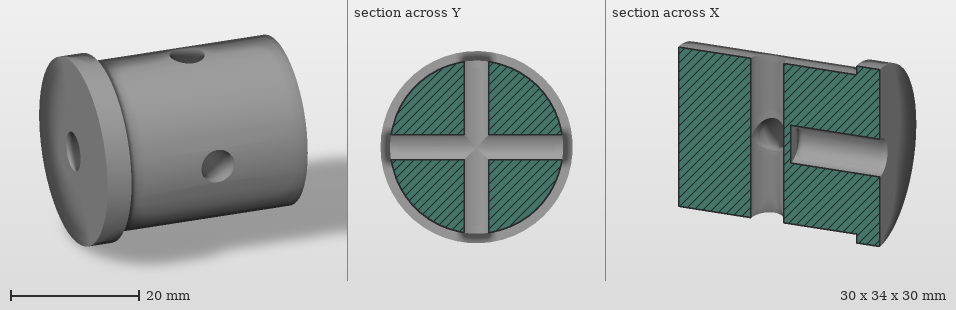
import cadquery as cq

flange_diameter = 30.0
flange_thickness = 4.0
body_diameter = 27.0
body_length = 30.0
cross_hole_diameter = 5.5
axial_hole_diameter = 6.3
axial_hole_depth = 15.0

cross_hole_y = flange_thickness + body_length / 2


def cylinder_along_y(diameter, start_y, length):
    """Solid cylinder on the part axis, from start_y toward +Y."""
    plane = cq.Workplane("XZ", origin=(0, start_y, 0))
    return plane.circle(diameter / 2).extrude(-length)


def cross_hole(plane_name):
    """Cutter through the whole body, normal to the named plane, at mid body."""
    plane = cq.Workplane(plane_name, origin=(0, cross_hole_y, 0))
    return plane.circle(cross_hole_diameter / 2).extrude(body_diameter, both=True)


flange = cylinder_along_y(flange_diameter, 0, flange_thickness)
body = cylinder_along_y(body_diameter, flange_thickness, body_length)
result = flange.union(body)

for plane_name in ("XY", "YZ"):
    result = result.cut(cross_hole(plane_name))

result = result.cut(cylinder_along_y(axial_hole_diameter, 0, axial_hole_depth))